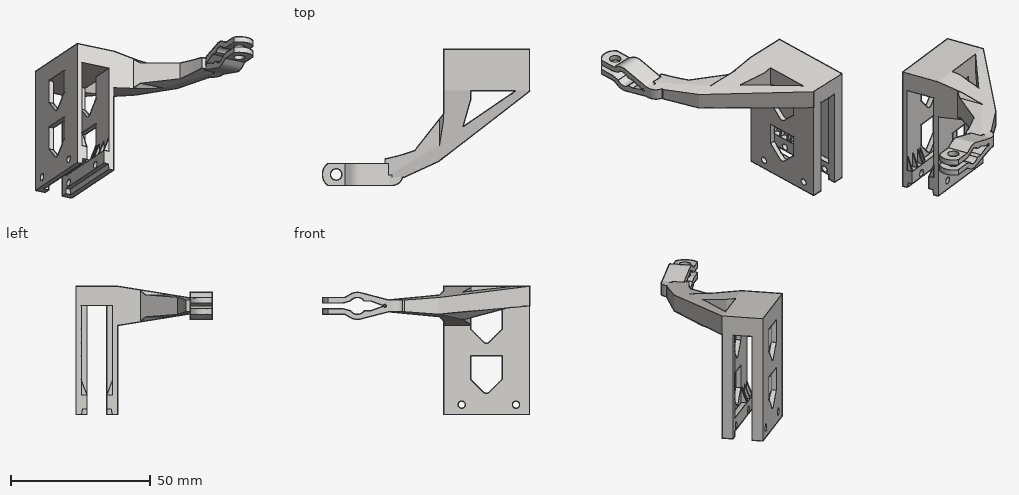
import cadquery as cq
import math


holder_width = 30.85
holder_depth = 15.0
holder_height = 46.11
roof_thickness = 7.0
slot_gap = 7.0
pocket_depth = 11.1
end_wall_thickness = 2.85
shelf_z = -39.15
mouth_z = -44.1
mouth_top_depth = 10.3
mid_y = holder_depth / 2
pocket_length = holder_width - end_wall_thickness

window_left_x = 9.7
window_width = 11.25
window_side_height = 8.45
window_tip_radius = 1.5
window_pitch = 18.0
window_count = 2

pin_diameter = 2.5
pin_x = 6.45
pin_spacing = 19.5
pin_z = -42.55

fin_thickness = 0.55
fin_height = 5.2
fin_starts = (0.1, 3.65, 7.1, 8.65)

arm_mid_z = -7.08
root_half_height = -arm_mid_z
root_taper = 0.161
arm_tip_x = 31.04
arm_knee = (-1.7, -25.3)
opening_apex = (6.95, -12.8)
opening_right_x = 25.7
opening_straight_y = -3.2
arm_front_heel_x = -14.1
arm_end_y = -24.4
arm_bow_mid = (-15.0, -22.9)
arm_bow_end = (-10.45, -21.4)
arm_root_y = -8.1
arm_end_x = -21.1
arm_front_y = -31.0
arm_seat_x = -20.5
arm_seat_y = -30.2
step_half_height = 5.45
step_length = 1.52
reach_taper = 0.096

clamp_width = 8.0
clamp_mid_y = -30.0
clamp_front_y = clamp_mid_y - clamp_width / 2
clamp_back_y = clamp_mid_y + clamp_width / 2
clamp_left_x = -43.6
clamp_nose_radius = 5.0
clamp_heel_radius = clamp_width / 2
clamp_heel_x = -18.6
clamp_heel_half_height = 2.1
jaw_outer = 3.04
jaw_inner = 1.0
bolt_diameter = 4.0
grip_x = -31.0
grip_inner_radius = 3.0
grip_outer_radius = 4.9
grip_outer_angles = (122.5, 74)
grip_inner_angles = (35, 145)
jaw_outer_end_x = -35.5
jaw_inner_end_x = -36.1
shoulder_outer = (-25.4, 3.6)
shoulder_inner = (-26.2, 1.72)
slit_root_x = -21.5
heel_start_x = -19.6
relief_x = arm_end_x
relief_diameter = 1.0
cut_margin = 1.0


def box(x0, x1, y0, y1, z0, z1):
    """Axis-aligned block between two opposite corners."""
    return cq.Workplane("XY").box(x1 - x0, y1 - y0, z1 - z0, centered=False).translate((x0, y0, z0))


def along_y(profile, y0, y1):
    """Extrude an XZ profile from y0 to y1."""
    return profile.extrude(y0 - y1).translate((0, y0, 0))


def mirrored_below(points):
    """Points below the middle plane that mirror the given upper points."""
    return [(x, -z) for x, z in reversed(points)]


def make_window(top_z):
    right_x = window_left_x + window_width
    side_z = top_z - window_side_height
    profile = (
        cq.Workplane("XZ")
        .moveTo(window_left_x, top_z)
        .lineTo(right_x, top_z)
        .lineTo(right_x, side_z)
        .lineTo(window_left_x + window_width / 2, side_z - window_width / 2)
        .lineTo(window_left_x, side_z)
        .close()
    )
    window = along_y(profile, -cut_margin, holder_depth + cut_margin)
    return window.edges("|Y and <Z").fillet(window_tip_radius)


def make_mouth():
    """Widened opening below the ledges, with sloping sides."""
    half_top = mouth_top_depth / 2
    half_bottom = pocket_depth / 2
    return (
        cq.Workplane("YZ")
        .polyline([
            (mid_y - half_bottom, -holder_height),
            (mid_y + half_bottom, -holder_height),
            (mid_y + half_top, mouth_z),
            (mid_y - half_top, mouth_z),
        ])
        .close()
        .extrude(pocket_length)
    )


def make_fins():
    """Fins that thicken from each pocket wall down to the ledge edge."""
    fins = []
    for side in (-1, 1):
        wall_y = mid_y + side * pocket_depth / 2
        lip_y = mid_y + side * slot_gap / 2
        fin = (
            cq.Workplane("YZ")
            .polyline([(wall_y, shelf_z), (lip_y, shelf_z), (wall_y, shelf_z + fin_height)])
            .close()
            .extrude(fin_thickness)
        )
        for x in fin_starts:
            fins.append(fin.translate((x, 0, 0)))
    return fins


def make_holder():
    holder = box(0, holder_width, 0, holder_depth, -holder_height, 0)
    holder = holder.cut(box(
        0, holder_width, mid_y - slot_gap / 2, mid_y + slot_gap / 2, -holder_height, -roof_thickness,
    ))
    holder = holder.cut(box(
        0, pocket_length, mid_y - pocket_depth / 2, mid_y + pocket_depth / 2, shelf_z, -roof_thickness,
    ))
    holder = holder.cut(make_mouth())
    for fin in make_fins():
        holder = holder.union(fin)
    for i in range(window_count):
        holder = holder.cut(make_window(-roof_thickness - i * window_pitch))
    for x in (pin_x, pin_x + pin_spacing):
        pin = cq.Workplane("XZ").center(x, pin_z).circle(pin_diameter / 2)
        holder = holder.cut(along_y(pin, 0, holder_depth))
    return holder


def arm_bottom_z(y):
    """Level of the tapered underside at a given reach."""
    return arm_mid_z - root_half_height - root_taper * y


def make_block_under(triangle):
    """Solid between a sloping triangle and a level floor below the arm."""
    floor_z = 2 * arm_mid_z - cut_margin
    top = [cq.Vector(*point) for point in triangle]
    floor = [cq.Vector(x, y, floor_z) for x, y, z in triangle]
    outlines = [top, floor]
    for i in range(len(top)):
        outlines.append([top[i - 1], top[i], floor[i], floor[i - 1]])
    faces = [cq.Face.makeFromWires(cq.Wire.makePolygon(points, close=True)) for points in outlines]
    return cq.Workplane(cq.Solid.makeSolid(cq.Shell.makeShell(faces)))


def make_strut_underside():
    """Material removed below the long strut, which rises to the middle plane at the holder."""
    knee = (*arm_knee, arm_bottom_z(arm_knee[1]))
    apex = (*opening_apex, arm_bottom_z(opening_apex[1]))
    inner_foot = (opening_right_x, 0, arm_mid_z)
    outer_foot = (arm_tip_x, 0, arm_mid_z)
    outer = make_block_under([knee, outer_foot, inner_foot])
    inner = make_block_under([knee, inner_foot, apex])
    return [outer, inner]


def make_arm():
    plan = (
        cq.Workplane("XY")
        .moveTo(0, 0)
        .lineTo(arm_tip_x, 0)
        .lineTo(*arm_knee)
        .lineTo(arm_front_heel_x, arm_front_y)
        .lineTo(clamp_heel_x, arm_front_y)
        .lineTo(clamp_heel_x, arm_seat_y)
        .lineTo(arm_seat_x, arm_seat_y)
        .lineTo(arm_seat_x, clamp_back_y)
        .lineTo(arm_end_x, clamp_back_y)
        .lineTo(arm_end_x, arm_end_y)
        .threePointArc(arm_bow_mid, arm_bow_end)
        .lineTo(0, arm_root_y)
        .close()
        .extrude(2 * root_half_height)
        .translate((0, 0, arm_mid_z - root_half_height))
    )
    opening = (
        cq.Workplane("XY")
        .polyline([
            (window_left_x, 0),
            (window_left_x, opening_straight_y),
            opening_apex,
            (opening_right_x, 0),
        ])
        .close()
        .extrude(-2 * root_half_height)
    )

    front_half = root_half_height + root_taper * arm_front_y
    taper_y = [(0, root_half_height), (arm_front_y, front_half)]
    side_profile = (
        cq.Workplane("YZ")
        .polyline(taper_y + mirrored_below(taper_y))
        .close()
        .extrude(arm_tip_x - arm_end_x)
        .translate((arm_end_x, 0, arm_mid_z))
    )

    neck_half = step_half_height - step_length
    end_half = neck_half + reach_taper * (arm_end_x + step_length)
    taper_x = [
        (arm_tip_x, root_half_height),
        (0, root_half_height),
        (0, step_half_height),
        (-step_length, neck_half),
        (arm_end_x, end_half),
    ]
    front_profile = along_y(
        cq.Workplane("XZ").polyline(taper_x + mirrored_below(taper_x)).close(), arm_front_y, 0,
    ).translate((0, 0, arm_mid_z))
    arm = plan.cut(opening).intersect(side_profile).intersect(front_profile)
    for block in make_strut_underside():
        arm = arm.cut(block)
    return arm


def on_circle(radius, angle):
    """Point on a circle about the grip centre; the angle is in degrees from +X."""
    return (grip_x + radius * math.cos(math.radians(angle)), radius * math.sin(math.radians(angle)))


def make_clamp_half_outline():
    """Upper half of the clamp, from the middle plane up."""
    outer_start, outer_end = grip_outer_angles
    inner_start, inner_end = grip_inner_angles
    outer_mid = (outer_start + outer_end) / 2
    inner_mid = (inner_start + inner_end) / 2
    heel_end_x = clamp_heel_x + clamp_heel_radius
    return (
        cq.Workplane("XZ")
        .moveTo(clamp_left_x, jaw_inner)
        .lineTo(clamp_left_x, jaw_outer)
        .lineTo(jaw_outer_end_x, jaw_outer)
        .lineTo(*on_circle(grip_outer_radius, outer_start))
        .threePointArc(on_circle(grip_outer_radius, outer_mid), on_circle(grip_outer_radius, outer_end))
        .lineTo(*shoulder_outer)
        .lineTo(heel_start_x, clamp_heel_half_height)
        .lineTo(heel_end_x, clamp_heel_half_height)
        .lineTo(heel_end_x, 0)
        .lineTo(slit_root_x, 0)
        .lineTo(*shoulder_inner)
        .lineTo(*on_circle(grip_inner_radius, inner_start))
        .threePointArc(on_circle(grip_inner_radius, inner_mid), on_circle(grip_inner_radius, inner_end))
        .lineTo(jaw_inner_end_x, jaw_inner)
        .close()
    )


def make_clamp():
    upper = along_y(make_clamp_half_outline(), clamp_front_y, clamp_back_y)
    clamp = upper.union(upper.mirror("XY"))

    nose_x = clamp_left_x + clamp_nose_radius
    shoulder_x = nose_x - math.sqrt(clamp_nose_radius ** 2 - (clamp_width / 2) ** 2)
    plan = (
        cq.Workplane("XY")
        .moveTo(shoulder_x, clamp_front_y)
        .lineTo(clamp_heel_x, clamp_front_y)
        .threePointArc((clamp_heel_x + clamp_heel_radius, clamp_mid_y), (clamp_heel_x, clamp_back_y))
        .lineTo(shoulder_x, clamp_back_y)
        .threePointArc((clamp_left_x, clamp_mid_y), (shoulder_x, clamp_front_y))
        .close()
        .extrude(2 * grip_outer_radius)
        .translate((0, 0, -grip_outer_radius))
    )
    bolt_hole = (
        cq.Workplane("XY")
        .center(nose_x, clamp_mid_y)
        .circle(bolt_diameter / 2)
        .extrude(2 * grip_outer_radius)
        .translate((0, 0, -grip_outer_radius))
    )
    relief_circle = cq.Workplane("XZ").center(relief_x, 0).circle(relief_diameter / 2)
    relief = along_y(relief_circle, clamp_front_y, clamp_back_y)
    return clamp.intersect(plan).cut(bolt_hole).cut(relief).translate((0, 0, arm_mid_z))


result = make_holder().union(make_arm()).union(make_clamp())